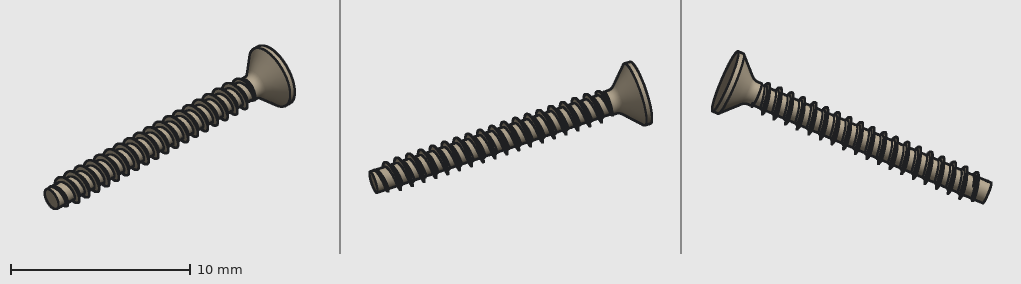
import cadquery as cq
import math

length = 16.0

head_radius = 1.82
rim_height = 0.34
cone_end_depth = 1.31

collar_radius = 0.69
collar_end_depth = 1.94
core_radius = 0.62

cone_end_radius = head_radius - (cone_end_depth - rim_height)
cone_slope = math.radians(45)
neck_radius = (cone_end_radius - collar_radius) / (1 - math.cos(cone_slope))
collar_start_depth = cone_end_depth + neck_radius * math.sin(cone_slope)
neck_mid_radius = collar_radius + neck_radius * (1 - math.cos(cone_slope / 2))
neck_mid_depth = collar_start_depth - neck_radius * math.sin(cone_slope / 2)

crest_radius = 0.9
crest_half_width = 0.02
toe_radius = 0.69
toe_half_width = 0.08
buried_radius = 0.58
head_side_reach = 0.34
tip_side_reach = 0.13
full_turns = 17
full_turns_length = 12.06
pitch = full_turns_length / full_turns
first_crest_depth = 2.85
start_turn = -1.7
full_start_turn = -0.6
full_end_turn = full_turns
end_turn = 18.3
points_per_turn = 16
smallest_height = 0.12


def make_body():
    """Head, neck, collar and core, revolved about Y."""
    return (
        cq.Workplane("XY")
        .moveTo(0, 0)
        .lineTo(head_radius, 0)
        .lineTo(head_radius, -rim_height)
        .lineTo(cone_end_radius, -cone_end_depth)
        .threePointArc((neck_mid_radius, -neck_mid_depth), (collar_radius, -collar_start_depth))
        .lineTo(collar_radius, -collar_end_depth)
        .lineTo(core_radius, -collar_end_depth)
        .lineTo(core_radius, -length)
        .lineTo(0, -length)
        .close()
        .revolve(360, (0, 0, 0), (0, 1, 0))
    )


def height_share(turn):
    """Share of the full thread height: 1 along the thread, fading out at both ends."""
    fade_in = (turn - start_turn) / (full_start_turn - start_turn)
    fade_out = (end_turn - turn) / (end_turn - full_end_turn)
    return smallest_height + (1 - smallest_height) * min(1, fade_in, fade_out)


def thread_point(turn, radius, offset):
    """Point of the thread at a profile radius and an offset along the axis."""
    angle = 2 * math.pi * turn
    scaled_radius = buried_radius + (radius - buried_radius) * height_share(turn)
    depth = first_crest_depth + pitch * turn + offset
    return cq.Vector(-scaled_radius * math.sin(angle), -depth, scaled_radius * math.cos(angle))


def thread_section(first_turn, last_turn):
    """Solid stretch of thread between two turn counts."""
    profile = [
        (buried_radius, -head_side_reach),
        (toe_radius, -toe_half_width),
        (crest_radius, -crest_half_width),
        (crest_radius, crest_half_width),
        (toe_radius, toe_half_width),
        (buried_radius, tip_side_reach),
    ]
    steps = math.ceil((last_turn - first_turn) * points_per_turn)
    turns = [first_turn + (last_turn - first_turn) * i / steps for i in range(steps + 1)]
    rails = [
        cq.Edge.makeSpline([thread_point(turn, radius, offset) for turn in turns])
        for radius, offset in profile
    ]
    faces = [cq.Face.makeRuledSurface(rails[i - 1], rails[i]) for i in range(len(rails))]
    for turn in (first_turn, last_turn):
        corners = [thread_point(turn, radius, offset) for radius, offset in profile]
        faces.append(cq.Face.makeFromWires(cq.Wire.makePolygon(corners, close=True)))
    return cq.Solid.makeSolid(cq.Shell.makeShell(faces))


result = make_body()
for first_turn, last_turn in (
    (start_turn, full_start_turn),
    (full_start_turn, full_end_turn),
    (full_end_turn, end_turn),
):
    result = result.union(cq.Workplane(obj=thread_section(first_turn, last_turn)))